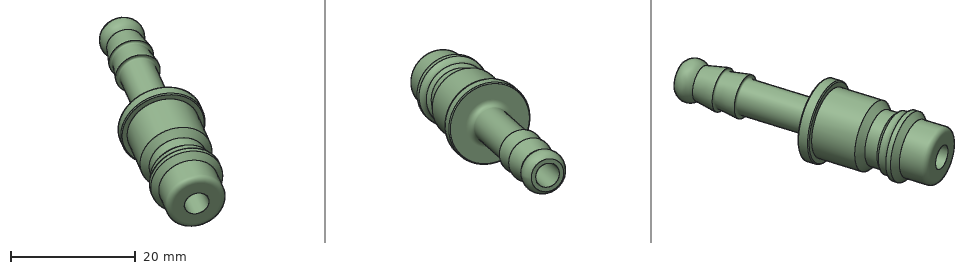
import cadquery as cq
import math

length = 47.5
bore_radius = 4.1 / 2

nose_face_radius = 5.6 / 2
barb_radius = 7.4 / 2
nose_peak_x = 1.85
nose_end_x = 3.5

barb_ends_x = (7.5, 11.55)
barb_land = 0.35
barb_back_fillet = 0.3
barb_root_radius = 3.2
stem_radius = 6.1 / 2
stem_fillet = 1.0

flange_start_x = 24.95
flange_end_x = 27.0
flange_radius = 14.0 / 2
flange_chamfer = 0.2

body_radius = 11.95 / 2
body_end_x = 34.85
groove_radius = 9.6 / 2
groove_end_x = 38.3

collar_step_radius = 10.8 / 2
collar_step_end_x = 39.3
collar_cove_radius = 1.65
collar_end_x = 41.4

tip_radius = 9.9 / 2
tip_fillet = 0.95

nose_rise = barb_radius - nose_face_radius
nose_arc_radius = (nose_peak_x**2 + nose_rise**2) / (2 * nose_rise)
nose_centre_radius = barb_radius - nose_arc_radius
nose_end_radius = nose_centre_radius + math.sqrt(
    nose_arc_radius**2 - (nose_end_x - nose_peak_x) ** 2
)


def add_barb(outline, end_x, next_radius):
    """Add a cone, a short land and a square back with a filleted root."""
    return (
        outline.lineTo(end_x - barb_land, barb_radius)
        .lineTo(end_x, barb_radius)
        .lineTo(end_x, next_radius + barb_back_fillet)
        .radiusArc((end_x + barb_back_fillet, next_radius), -barb_back_fillet)
    )


outline = (
    cq.Workplane("XY")
    .lineTo(0, nose_face_radius)
    .threePointArc((nose_peak_x, barb_radius), (nose_end_x, nose_end_radius))
)
outline = add_barb(outline, barb_ends_x[0], barb_root_radius)
outline = add_barb(outline, barb_ends_x[1], stem_radius)

outline = outline.lineTo(flange_start_x - stem_fillet, stem_radius).radiusArc(
    (flange_start_x, stem_radius + stem_fillet), -stem_fillet
)

outline = (
    outline.lineTo(flange_start_x, flange_radius - flange_chamfer)
    .lineTo(flange_start_x + flange_chamfer, flange_radius)
    .lineTo(flange_end_x - flange_chamfer, flange_radius)
    .lineTo(flange_end_x, flange_radius - flange_chamfer)
    .lineTo(flange_end_x, body_radius)
)

groove_start_x = body_end_x + body_radius - groove_radius
collar_step_start_x = groove_end_x + collar_step_radius - groove_radius
outline = (
    outline.lineTo(body_end_x, body_radius)
    .lineTo(groove_start_x, groove_radius)
    .lineTo(groove_end_x, groove_radius)
    .lineTo(collar_step_start_x, collar_step_radius)
)

collar_rise = body_radius - collar_step_radius
cove_length = math.sqrt(collar_cove_radius**2 - (collar_cove_radius - collar_rise) ** 2)
tip_start_x = collar_end_x + body_radius - tip_radius
outline = (
    outline.lineTo(collar_step_end_x, collar_step_radius)
    .radiusArc((collar_step_end_x + cove_length, body_radius), -collar_cove_radius)
    .lineTo(collar_end_x, body_radius)
    .lineTo(tip_start_x, tip_radius)
)

outline = (
    outline.lineTo(length - tip_fillet, tip_radius)
    .radiusArc((length, tip_radius - tip_fillet), tip_fillet)
    .lineTo(length, 0)
    .close()
)
turned_body = outline.revolve(360, (0, 0, 0), (1, 0, 0))

bore = cq.Workplane("YZ").circle(bore_radius).extrude(length)
result = turned_body.cut(bore)